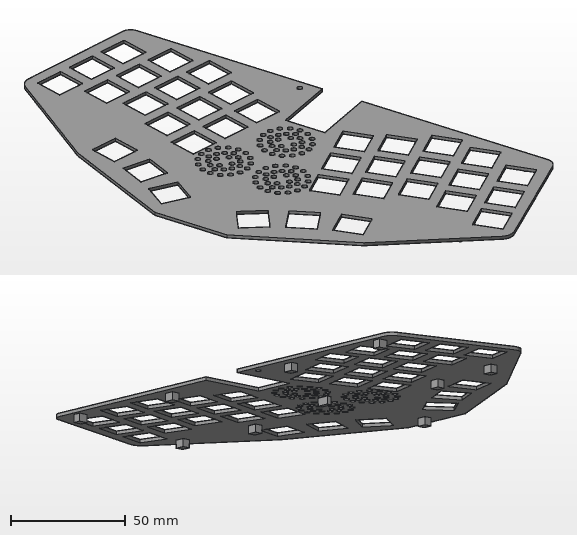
import cadquery as cq
import math


length = 248.0
width = 127.0
overall_height = 5.2
sheet_thickness = 1.6
block_height = overall_height - sheet_thickness
back_y = width / 2
front_y = -width / 2
back_corner_x = 108.7
side_corner_overhang = 0.85
side_corner = (length / 2 + side_corner_overhang, 0.2)
front_bend = (73.0, -38.2)
front_edge_half = 18.4
back_corner_radius = 5.0
side_corner_radius = 6.2

notch_width = 20.0
notch_floor_y = 32.5

key_size = 14.0
key_pitch = 19.0
keys_per_column = 3
column_tilt = 15
column_front_keys = [(110.2, 8.2), (89.0, 13.0), (69.5, 13.0), (52.4, 3.2), (34.5, -4.2)]
thumb_keys = [(60.5, -27.5, 15), (40.2, -35.5, 25), (21.3, -46.2, 35)]

vent_diameter = 2.5
vent_centers = [(-0.2, 16.9), (-15.0, -11.0), (14.5, -11.0)]
inner_ring_radius = 4.0
diagonal_ring_radius = 7.0
middle_ring_radius = 8.0
outer_ring_radius = 11.7
outer_ring_count = 16
small_hole_diameter = 2.5
small_hole_center = (-18.9, 59.0)

block_long = 4.5
block_short = 3.7
corner_blocks = [(-98.0, 59.3), (95.8, 59.3)]
wide_blocks = [
    (-38.5, 57.5), (38.5, 57.5),
    (-94.5, -9.0), (102.0, -6.7),
    (-57.8, -11.2), (60.0, -11.2),
    (-0.2, -56.0),
]
bar_length = 6.0
bar_width = 2.2
bar_center = (-0.2, 3.0)


def mirror_x(point):
    return (-point[0], point[1])


def make_sheet():
    right_side = [
        (front_edge_half, front_y),
        front_bend,
        side_corner,
        (back_corner_x, back_y),
    ]
    left_side = [mirror_x(point) for point in reversed(right_side)]
    sheet = cq.Workplane("XY").polyline(right_side + left_side).close().extrude(sheet_thickness)
    sheet = sheet.edges("|Z and >Y").fillet(back_corner_radius)
    for side in ("<X", ">X"):
        sheet = sheet.edges("|Z").edges(side).fillet(side_corner_radius)
    notch_depth = back_y - notch_floor_y
    notch = cq.Workplane("XY").center(0, notch_floor_y + notch_depth / 2)
    return sheet.cut(notch.rect(notch_width, notch_depth).extrude(sheet_thickness))


def key_places():
    """Centre and tilt of every key opening on the +X half."""
    tilt = math.radians(column_tilt)
    places = list(thumb_keys)
    for x, y in column_front_keys:
        for row in range(keys_per_column):
            step = row * key_pitch
            places.append((x - step * math.sin(tilt), y + step * math.cos(tilt), column_tilt))
    return places


def make_key_openings():
    openings = []
    for x, y, tilt in key_places():
        for side in (1, -1):
            opening = cq.Workplane("XY").rect(key_size, key_size).extrude(sheet_thickness)
            opening = opening.rotate((0, 0, 0), (0, 0, 1), side * tilt)
            openings.append(opening.translate((side * x, y, 0)))
    return openings


def ring_points(center, radius, angles):
    return [
        (
            center[0] + radius * math.cos(math.radians(angle)),
            center[1] + radius * math.sin(math.radians(angle)),
        )
        for angle in angles
    ]


def vent_points(center):
    """Hole centres of one round vent."""
    quarter_angles = range(0, 360, 90)
    diagonal_angles = [angle for angle in range(0, 360, 30) if angle % 90]
    outer_angles = [360 * i / outer_ring_count for i in range(outer_ring_count)]
    return (
        ring_points(center, inner_ring_radius, quarter_angles)
        + ring_points(center, diagonal_ring_radius, diagonal_angles)
        + ring_points(center, middle_ring_radius, quarter_angles)
        + ring_points(center, outer_ring_radius, outer_angles)
    )


def make_holes(points, diameter):
    return cq.Workplane("XY").pushPoints(points).circle(diameter / 2).extrude(sheet_thickness)


def make_blocks(centers, size_x, size_y):
    return cq.Workplane("XY").pushPoints(centers).rect(size_x, size_y).extrude(-block_height)


result = make_sheet()
for key_opening in make_key_openings():
    result = result.cut(key_opening)
for vent_center in vent_centers:
    result = result.cut(make_holes(vent_points(vent_center), vent_diameter))
result = result.cut(make_holes([small_hole_center], small_hole_diameter))
result = result.union(make_blocks(corner_blocks, block_short, block_long))
result = result.union(make_blocks(wide_blocks, block_long, block_short))
result = result.union(make_blocks([bar_center], bar_length, bar_width))